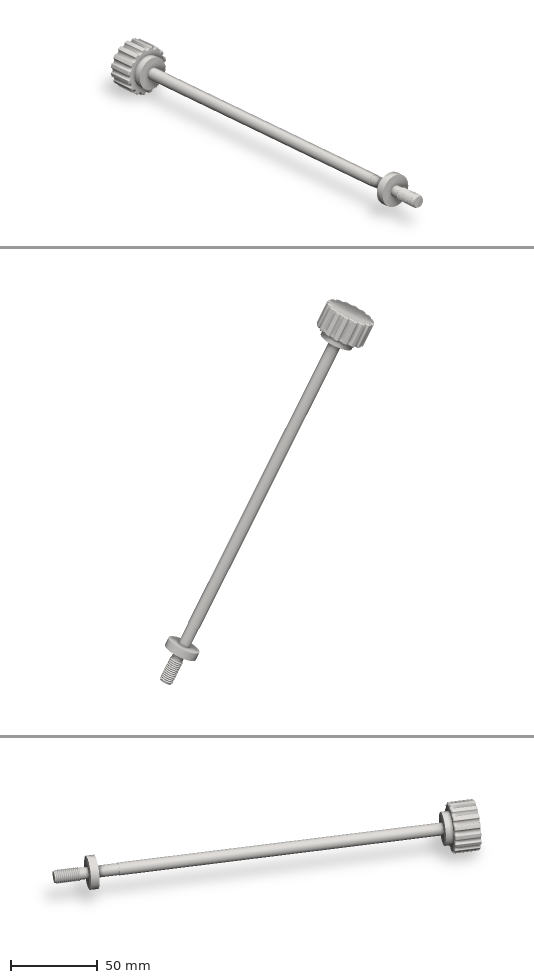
import cadquery as cq

total_length = 249.0

knob_diameter = 30.0
knob_length = 15.5
knob_chamfer = 0.5
tooth_fillet = 0.37
groove_count = 16
groove_diameter = 3.0
collar_diameter = 20.0
collar_end = 20.0

rod_diameter = 7.5
neck_diameter = 7.0
neck_start = 211.0
flange_diameter = collar_diameter
flange_length = 5.0
flange_gap = 5.0

thread_diameter = 8.0
thread_root_diameter = neck_diameter
thread_length = 15.0
tip_length = 0.7
ridge_count = 12
crest_width = 0.2

thread_start = total_length - thread_length
thread_pitch = (thread_length - tip_length) / ridge_count
flange_end = thread_start - flange_gap
flange_start = flange_end - flange_length


def cylinder(start, end, diameter):
    """Solid cylinder on the X axis between two X positions."""
    return cq.Workplane("YZ", origin=(start, 0, 0)).circle(diameter / 2).extrude(end - start)


def knob():
    """Disc with round grooves along its rim, chamfered ends and rounded teeth."""
    grooves = (
        cq.Workplane("YZ")
        .polarArray(knob_diameter / 2, 0, 360, groove_count)
        .circle(groove_diameter / 2)
        .extrude(knob_length)
    )
    grooved = cylinder(0, knob_length, knob_diameter).cut(grooves)
    chamfered = grooved.faces("<X or >X").chamfer(knob_chamfer)
    return chamfered.edges("|X").fillet(tooth_fillet)


def thread():
    """Revolved profile with one flat-topped ridge per pitch and a plain tip at root diameter."""
    root_radius = thread_root_diameter / 2
    crest_radius = thread_diameter / 2
    flank_length = (thread_pitch - crest_width) / 2
    profile = [(thread_start, 0), (thread_start, root_radius)]
    for ridge in range(ridge_count):
        ridge_start = thread_start + ridge * thread_pitch
        crest_start = ridge_start + flank_length
        profile.append((crest_start, crest_radius))
        profile.append((crest_start + crest_width, crest_radius))
        profile.append((ridge_start + thread_pitch, root_radius))
    profile.append((total_length, root_radius))
    profile.append((total_length, 0))
    return cq.Workplane("XY").polyline(profile).close().revolve(360, (0, 0, 0), (1, 0, 0))


result = (
    knob()
    .union(cylinder(knob_length, collar_end, collar_diameter))
    .union(cylinder(collar_end, neck_start, rod_diameter))
    .union(cylinder(neck_start, thread_start, neck_diameter))
    .union(cylinder(flange_start, flange_end, flange_diameter))
    .union(thread())
)